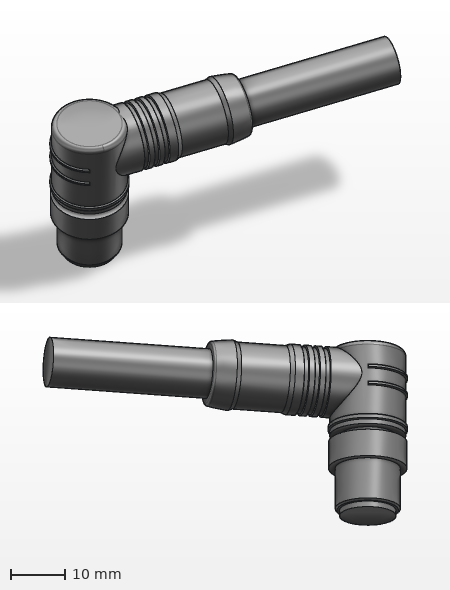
import cadquery as cq


overall_length = 67.3
overall_height = 32.0

housing_radius = 7.0
housing_top = 6.5
housing_bottom = -9.9
housing_top_fillet = 1.0
nut_radius = 7.2
nut_top = -11.1
nut_bottom = -16.2
neck_radius = 5.2
barrel_radius = 6.0
barrel_bottom = -24.35
barrel_chamfer = 0.35
plug_bottom = housing_top - overall_height

band_radius = 14.6 / 2
band_bevel = 0.2
collar_middle = -8.5
collar_width = 1.1
rib_width = 0.8
rib_middles = (1.3, -2.0)
rib_left_end_y = 1.4
rib_right_end_y = -2.7

sleeve_radius = 6.5
grip_radius = 6.2
grip_start = 15.9
grip_end = 25.05
shoulder_length = 0.9
groove_start = 8.3
groove_pitch = 2.0
groove_width = 1.0
groove_count = 3
groove_bevel = 0.15
tail_end = 30.1
tail_radius = 5.9
tail_fillet = 0.5
tail_bulge = 0.1

cable_radius = 4.6
cable_end = overall_length - band_radius


def post(radius, bottom, top):
    """Cylinder on the Z axis."""
    return cq.Workplane("XY").workplane(offset=bottom).circle(radius).extrude(top - bottom)


def band(middle, width):
    """Ring with bevelled edges that stands out from the housing wall."""
    inner_radius = housing_radius - band_bevel
    return (
        cq.Workplane("XZ")
        .moveTo(inner_radius, middle - width / 2)
        .lineTo(housing_radius, middle - width / 2)
        .lineTo(band_radius, middle - width / 2 + band_bevel)
        .lineTo(band_radius, middle + width / 2 - band_bevel)
        .lineTo(housing_radius, middle + width / 2)
        .lineTo(inner_radius, middle + width / 2)
        .close()
        .revolve(360, (0, 0, 0), (0, 1, 0))
    )


def front_rib(middle):
    """Band kept only around the front, ending further forward on the +X side."""
    span = 2 * band_radius
    ends = (
        cq.Workplane("XY")
        .workplane(offset=middle - rib_width)
        .moveTo(-span, rib_left_end_y)
        .lineTo(0, rib_left_end_y)
        .lineTo(0, rib_right_end_y)
        .lineTo(span, rib_right_end_y)
        .lineTo(span, -span)
        .lineTo(-span, -span)
        .close()
        .extrude(2 * rib_width)
    )
    return band(middle, rib_width).intersect(ends)


def plug():
    """Housing, neck, coupling nut and barrel stacked on the Z axis."""
    housing = post(housing_radius, housing_bottom, housing_top)
    housing = housing.faces(">Z").edges().fillet(housing_top_fillet)
    barrel = post(barrel_radius, barrel_bottom, nut_bottom)
    barrel = barrel.faces("<Z").edges().chamfer(barrel_chamfer)
    body = (
        housing.union(post(neck_radius, plug_bottom, housing_bottom))
        .union(post(nut_radius, nut_bottom, nut_top))
        .union(barrel)
        .union(band(collar_middle, collar_width))
    )
    for middle in rib_middles:
        body = body.union(front_rib(middle))
    return body


def sleeve():
    """Turned profile around the Y axis with grooves, a slim grip and a tapered tail."""
    profile = cq.Workplane("XY").lineTo(sleeve_radius, 0)
    for index in range(groove_count):
        near = groove_start + index * groove_pitch
        far = near + groove_width
        profile = (
            profile.lineTo(sleeve_radius, near)
            .lineTo(grip_radius, near + groove_bevel)
            .lineTo(grip_radius, far - groove_bevel)
            .lineTo(sleeve_radius, far)
        )
    tail_start = grip_end + shoulder_length
    middle_radius = (sleeve_radius + tail_radius) / 2 + tail_bulge
    turned = (
        profile.lineTo(sleeve_radius, grip_start - shoulder_length)
        .lineTo(grip_radius, grip_start)
        .lineTo(grip_radius, grip_end)
        .lineTo(sleeve_radius, tail_start)
        .threePointArc((middle_radius, (tail_start + tail_end) / 2), (tail_radius, tail_end))
        .lineTo(0, tail_end)
        .close()
        .revolve(360, (0, 0, 0), (0, 1, 0))
    )
    return turned.faces(">Y").edges().fillet(tail_fillet)


def cable():
    """Plain round cable leaving the tail of the sleeve."""
    return cq.Workplane("XZ").circle(cable_radius).extrude(-cable_end)


result = plug().union(sleeve()).union(cable())